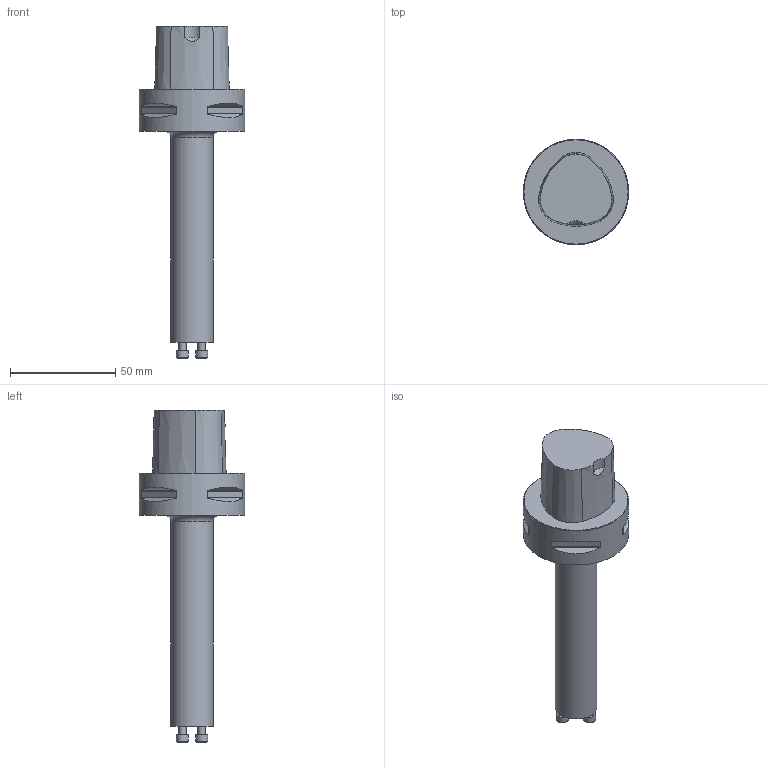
import cadquery as cq
import math


FLANGE_DIAMETER = 50.0
FLANGE_HEIGHT = 20.0
FLANGE_EDGE_CHAMFER = 0.25

TAPER_HEIGHT = 30.0
TAPER_RATIO = 1 / 20
LOBE_COUNT = 3
LOBE_REACH = 18.7
LOBE_RADIUS = 11.6
FLAT_REACH = 16.26

NOTCH_DIAMETER = 9.6
NOTCH_BACK_Y = -13.6
NOTCH_WALL_HEIGHT = 5.3
NOTCH_CONE_ANGLE = 90.0

GROOVE_COUNT = 4
GROOVE_START_ANGLE = 45.0
GROOVE_MIDDLE_Z = -FLANGE_HEIGHT / 2
GROOVE_LENGTH = 23.5
GROOVE_FLOOR_WIDTH = 3.5
GROOVE_FLOOR_FILLET = 0.5
GROOVE_ANGLE = 60.0

BAR_DIAMETER = 20.0
BAR_LENGTH = 100.0
BAR_FILLET = 3.0

PIN_NECK_DIAMETER = 3.5
PIN_NECK_LENGTH = 4.0
PIN_HEAD_DIAMETER = 5.7
PIN_HEAD_HEIGHT = 3.5
PIN_HEAD_CHAMFER = 0.3
PIN_OFFSET = 4.55

BAR_BOTTOM_Z = -FLANGE_HEIGHT - BAR_LENGTH


def polar_point(radius, angle):
    return radius * math.cos(angle), radius * math.sin(angle)


def tapered_shank():
    """Three lobe arcs joined tangentially by three flatter arcs, narrowing upward.

    One lobe points to +Y, so the middle of one flat faces -Y.
    """
    half_pitch = math.pi / LOBE_COUNT
    lobe_center = LOBE_REACH - LOBE_RADIUS
    along = lobe_center * math.cos(half_pitch)
    across = lobe_center * math.sin(half_pitch)
    gap = FLAT_REACH - along
    flat_radius = (LOBE_RADIUS**2 - gap**2 - across**2) / (2 * (LOBE_RADIUS - gap))
    flat_turn = math.asin(across / (flat_radius - LOBE_RADIUS))
    joint_along = along + LOBE_RADIUS * math.cos(flat_turn)
    joint_across = across + LOBE_RADIUS * math.sin(flat_turn)
    joint_radius = math.hypot(joint_along, joint_across)
    joint_angle = math.atan2(joint_across, joint_along)

    first_flat = -math.pi / 2
    outline = cq.Workplane("XY").moveTo(*polar_point(joint_radius, first_flat - joint_angle))
    for i in range(LOBE_COUNT):
        flat = first_flat + 2 * half_pitch * i
        lobe = flat + half_pitch
        next_flat = lobe + half_pitch
        outline = outline.threePointArc(
            polar_point(FLAT_REACH, flat), polar_point(joint_radius, flat + joint_angle)
        ).threePointArc(
            polar_point(LOBE_REACH, lobe), polar_point(joint_radius, next_flat - joint_angle)
        )
    side_angle = math.degrees(math.atan(TAPER_RATIO / 2))
    return outline.close().extrude(TAPER_HEIGHT, taper=side_angle)


def key_notch():
    radius = NOTCH_DIAMETER / 2
    cone_depth = radius / math.tan(math.radians(NOTCH_CONE_ANGLE / 2))
    wall_bottom_z = TAPER_HEIGHT - NOTCH_WALL_HEIGHT
    return (
        cq.Workplane("XZ")
        .moveTo(0, wall_bottom_z - cone_depth)
        .lineTo(radius, wall_bottom_z)
        .lineTo(radius, TAPER_HEIGHT)
        .lineTo(0, TAPER_HEIGHT)
        .close()
        .revolve(360, (0, 0), (0, 1))
        .translate((0, NOTCH_BACK_Y - radius, 0))
    )


def flange():
    return (
        cq.Workplane("XY")
        .circle(FLANGE_DIAMETER / 2)
        .extrude(-FLANGE_HEIGHT)
        .faces(">Z")
        .chamfer(FLANGE_EDGE_CHAMFER)
    )


def flange_grooves():
    outer = FLANGE_DIAMETER / 2
    floor = math.sqrt(outer**2 - (GROOVE_LENGTH / 2) ** 2)
    floor_half = GROOVE_FLOOR_WIDTH / 2
    mouth_half = floor_half + (outer - floor) * math.tan(math.radians(GROOVE_ANGLE / 2))
    groove = (
        cq.Workplane("XZ")
        .polyline([(floor, -floor_half), (outer, -mouth_half), (outer, mouth_half), (floor, floor_half)])
        .close()
        .extrude(GROOVE_LENGTH / 2, both=True)
        .faces("<X")
        .edges("|Y")
        .fillet(GROOVE_FLOOR_FILLET)
        .translate((0, 0, GROOVE_MIDDLE_Z))
    )
    grooves = cq.Workplane("XY")
    for i in range(GROOVE_COUNT):
        angle = GROOVE_START_ANGLE + i * 360 / GROOVE_COUNT
        grooves = grooves.add(groove.rotate((0, 0, 0), (0, 0, 1), angle))
    return grooves.combine()


def bar():
    """Bar with a concave fillet flaring into the flange underside."""
    radius = BAR_DIAMETER / 2
    fillet_middle = BAR_FILLET * (1 - math.sqrt(0.5))
    return (
        cq.Workplane("XZ")
        .moveTo(0, BAR_BOTTOM_Z)
        .lineTo(radius, BAR_BOTTOM_Z)
        .lineTo(radius, -FLANGE_HEIGHT - BAR_FILLET)
        .threePointArc(
            (radius + fillet_middle, -FLANGE_HEIGHT - fillet_middle),
            (radius + BAR_FILLET, -FLANGE_HEIGHT),
        )
        .lineTo(0, -FLANGE_HEIGHT)
        .close()
        .revolve(360, (0, 0), (0, 1))
    )


def pin(x, y):
    neck = cq.Workplane("XY").circle(PIN_NECK_DIAMETER / 2).extrude(-PIN_NECK_LENGTH)
    head = (
        cq.Workplane("XY")
        .workplane(offset=-PIN_NECK_LENGTH)
        .circle(PIN_HEAD_DIAMETER / 2)
        .extrude(-PIN_HEAD_HEIGHT)
        .faces("<Z")
        .chamfer(PIN_HEAD_CHAMFER)
    )
    return neck.union(head).translate((x, y, BAR_BOTTOM_Z))


result = (
    tapered_shank()
    .cut(key_notch())
    .union(flange().cut(flange_grooves()))
    .union(bar())
    .union(pin(PIN_OFFSET, -PIN_OFFSET))
    .union(pin(-PIN_OFFSET, PIN_OFFSET))
)